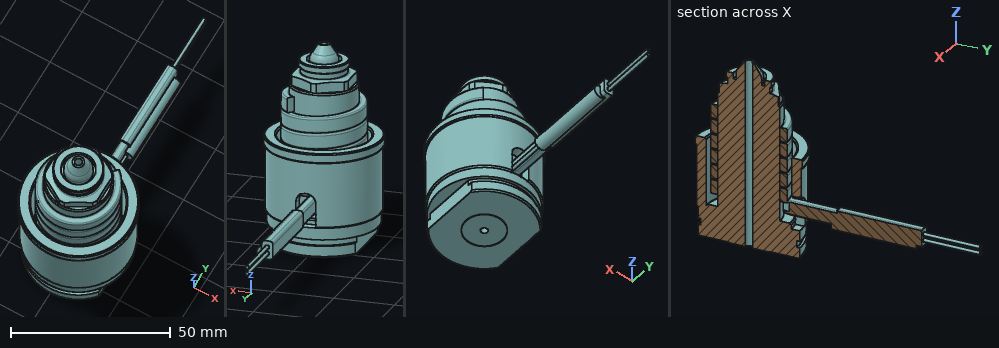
import cadquery as cq
import math

bore_radius = 1.2
pad_radius = 7.2
base_bottom = 0.2
base_radius = 18.0
base_chamfer = 0.5
flat_distance = 14.0
groove_radius = 17.0
groove_bottom = 4.1
groove_top = 6.2
base_top = 10.1
jacket_radius = 18.5
jacket_chamfer = jacket_radius - base_radius
flange_radius = 19.0
flange_bottom = 31.8
flange_top = 35.1
flange_chamfer = 0.4

recess_radius = 15.0
recess_chamfer = 0.5
recess_floor = 12.0
window_width = 6.6
window_top = 21.5

core_radius = 11.0
core_top = 52.2
core_chamfer = 0.5
hex_across_flats = 19.0
hex_corner_radius = 10.5
hex_side_top = 55.3
hex_cone_top = 55.9
neck_radius = 7.5
collar_radius = 8.0
collar_bottom = 57.7
collar_top = 60.1
collar_chamfer = 0.3

pocket_radius = 5.5
pocket_depth = 2.0
dome_radius = 4.6
pocket_floor = collar_top - pocket_depth
cone_radius = 3.6
cone_start = 62.4
tip_radius = 1.9
tip_top = 65.2

coil_outer_radius = 13.6
coil_width = coil_outer_radius - core_radius
coil_height = 5.0
coil_corner = 0.5
coil_pitch = 5.3
coil_end_angle = 410.0
coil_full_turns = 5
coil_start_middle = 16.1

lead_x = -1.4
lead_z = 17.2
lead_width = 3.0
lead_height = 5.0
lead_corner = 0.6
bend_radius = 3.0
lead_circle_radius = core_radius + lead_width / 2
bend_x = lead_x - bend_radius
bend_y = math.sqrt((lead_circle_radius + bend_radius) ** 2 - bend_x**2)
coil_start_angle = math.degrees(math.atan2(bend_y, bend_x))
sleeve_wall = 0.4
sleeve_height_wall = 0.6
sleeve_corner = 1.1
sleeve_start = 31.0
sleeve_length = 30.0
wire_radius = 0.65
wire_spacing = 2.1
wire_end = 81.0

sensor_x = 0.4
sensor_z = 15.5
sensor_radius = 0.65
sensor_sleeve_radius = 2.4
sensor_sleeve_start = 29.0


def disc(radius, bottom, top):
    return cq.Workplane("XY").workplane(offset=bottom).circle(radius).extrude(top - bottom)


def make_base():
    pad = disc(pad_radius, 0, base_bottom)
    base = disc(base_radius, base_bottom, base_top).faces("<Z").chamfer(base_chamfer)
    groove_core = disc(groove_radius, groove_bottom, groove_top)
    groove = disc(base_radius, groove_bottom, groove_top).cut(groove_core)
    flat_zone = cq.Workplane("XY").rect(2 * flat_distance, 2 * base_radius).extrude(groove_top)
    above_flats = disc(base_radius, groove_top, base_top)
    boss = disc(recess_radius, base_top, recess_floor).faces(">Z").chamfer(recess_chamfer)
    return base.cut(groove).intersect(flat_zone.union(above_flats)).union(pad).union(boss)


def make_jacket():
    jacket = disc(jacket_radius, base_top, flange_bottom).faces("<Z").chamfer(jacket_chamfer)
    flange = disc(flange_radius, flange_bottom, flange_top).faces("<Z or >Z").chamfer(flange_chamfer)
    recess = disc(recess_radius, base_top, flange_top)
    shell = jacket.union(flange).cut(recess)
    recess_rim = cq.selectors.RadiusNthSelector(0)
    shell = shell.faces(">Z").edges(recess_rim).chamfer(recess_chamfer)
    half_width = window_width / 2
    window = (
        cq.Workplane("XZ")
        .moveTo(-half_width, base_top)
        .lineTo(half_width, base_top)
        .lineTo(half_width, window_top - half_width)
        .threePointArc((0, window_top), (-half_width, window_top - half_width))
        .close()
        .extrude(-flange_radius)
    )
    return shell.cut(window)


def make_core():
    core = disc(core_radius, base_top, core_top).faces(">Z").chamfer(core_chamfer)
    hexagon = (
        cq.Workplane("XY")
        .workplane(offset=core_top)
        .polygon(6, hex_across_flats, circumscribed=True)
        .extrude(hex_cone_top - core_top)
    )
    hex_limit = (
        cq.Workplane("XZ")
        .moveTo(0, core_top)
        .lineTo(hex_corner_radius, core_top)
        .lineTo(hex_corner_radius, hex_side_top)
        .lineTo(collar_radius, hex_cone_top)
        .lineTo(0, hex_cone_top)
        .close()
        .revolve(360, (0, 0), (0, 1))
    )
    neck = disc(neck_radius, hex_cone_top, collar_bottom)
    collar = disc(collar_radius, collar_bottom, collar_top).faces("<Z or >Z").chamfer(collar_chamfer)
    pocket = disc(pocket_radius, pocket_floor, collar_top)
    return core.union(hexagon.intersect(hex_limit)).union(neck).union(collar).cut(pocket)


def make_tip():
    return (
        cq.Workplane("XZ")
        .moveTo(0, pocket_floor)
        .lineTo(dome_radius, pocket_floor)
        .lineTo(dome_radius, collar_top)
        .tangentArcPoint((cone_radius, cone_start), relative=False)
        .lineTo(tip_radius, tip_top)
        .lineTo(0, tip_top)
        .close()
        .revolve(360, (0, 0), (0, 1))
    )


def make_nozzle():
    bore = disc(bore_radius, 0, tip_top)
    return make_base().union(make_jacket()).union(make_core()).union(make_tip()).cut(bore)


def make_coil():
    turns = coil_full_turns + (coil_end_angle - coil_start_angle) / 360
    middle_radius = core_radius + coil_width / 2
    helix = cq.Wire.makeHelix(coil_pitch, turns * coil_pitch, middle_radius)
    section = cq.Sketch().rect(coil_width, coil_height).vertices().fillet(coil_corner)
    coil = (
        cq.Workplane("XZ", origin=(middle_radius, 0, 0))
        .placeSketch(section)
        .sweep(cq.Workplane(obj=helix), isFrenet=True)
    )
    return coil.rotate((0, 0, 0), (0, 0, 1), coil_start_angle).translate((0, 0, coil_start_middle))


def make_lead():
    start_angle = math.radians(coil_start_angle)
    bend_end = (lead_circle_radius * math.cos(start_angle), lead_circle_radius * math.sin(start_angle))
    path = (
        cq.Workplane("XY", origin=(0, 0, lead_z))
        .moveTo(lead_x, sleeve_start)
        .lineTo(lead_x, bend_y)
        .tangentArcPoint(bend_end, relative=False)
    )
    section = cq.Sketch().rect(lead_width, lead_height).vertices().fillet(lead_corner)
    return cq.Workplane("XZ", origin=(lead_x, sleeve_start, lead_z)).placeSketch(section).sweep(path)


def bar_along_y(width, height, corner, start, end):
    return (
        cq.Workplane("XY", origin=(lead_x, start, lead_z))
        .box(width, end - start, height, centered=(True, False, True))
        .edges("|Y")
        .fillet(corner)
    )


def rod_along_y(x, z, radius, start, end):
    return cq.Workplane("XZ", origin=(x, start, z)).circle(radius).extrude(start - end)


def make_heater():
    sleeve_end = sleeve_start + sleeve_length
    heater = make_coil().union(make_lead())
    sleeve_width = lead_width + 2 * sleeve_wall
    sleeve_height = lead_height + 2 * sleeve_height_wall
    heater = heater.union(bar_along_y(sleeve_width, sleeve_height, sleeve_corner, sleeve_start, sleeve_end))
    for side in (-1, 1):
        wire_z = lead_z + side * wire_spacing / 2
        heater = heater.union(rod_along_y(lead_x, wire_z, wire_radius, sleeve_end, wire_end))
    sensor_sleeve_end = sensor_sleeve_start + sleeve_length
    sensor = rod_along_y(sensor_x, sensor_z, sensor_radius, lead_circle_radius, sensor_sleeve_start)
    sensor_sleeve = rod_along_y(sensor_x, sensor_z, sensor_sleeve_radius, sensor_sleeve_start, sensor_sleeve_end)
    return heater.union(sensor).union(sensor_sleeve)


nozzle = make_nozzle()
heater = make_heater()
result = cq.Compound.makeCompound([nozzle.val(), heater.val()])